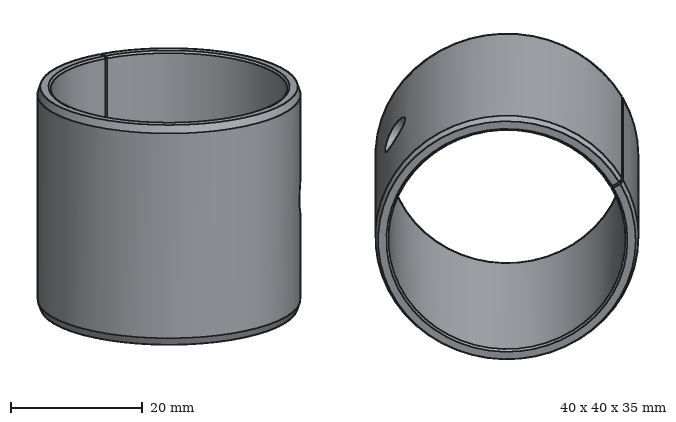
import cadquery as cq
import math

outer_diameter = 40.0
wall = 2.0
length = 35.0
outer_radius = outer_diameter / 2
inner_radius = outer_radius - wall

outer_chamfer_length = 1.2
outer_chamfer_angle = 20.0
outer_chamfer_depth = outer_chamfer_length * math.tan(math.radians(outer_chamfer_angle))
inner_chamfer = 0.3

slit_angle = 1.0
hole_diameter = 6.0
hole_angle = 59.0
hole_height = length / 2


def split_sleeve():
    """Revolve the chamfered wall section about Z from -X, stopping short to leave the slit."""
    section = [
        (inner_radius, inner_chamfer),
        (inner_radius + inner_chamfer, 0),
        (outer_radius - outer_chamfer_depth, 0),
        (outer_radius, outer_chamfer_length),
        (outer_radius, length - outer_chamfer_length),
        (outer_radius - outer_chamfer_depth, length),
        (inner_radius + inner_chamfer, length),
        (inner_radius, length - inner_chamfer),
    ]
    profile = cq.Workplane("XZ").polyline(section).close()
    sleeve = profile.revolve(360 - slit_angle, (0, 0), (0, 1))
    return sleeve.rotate((0, 0, 0), (0, 0, 1), 180)


def oil_hole_cutter():
    """Radial cylinder from the axis outward through one side of the wall."""
    drill = cq.Workplane("YZ").circle(hole_diameter / 2).extrude(outer_diameter)
    return drill.translate((0, 0, hole_height)).rotate((0, 0, 0), (0, 0, 1), hole_angle)


result = split_sleeve().cut(oil_hole_cutter())